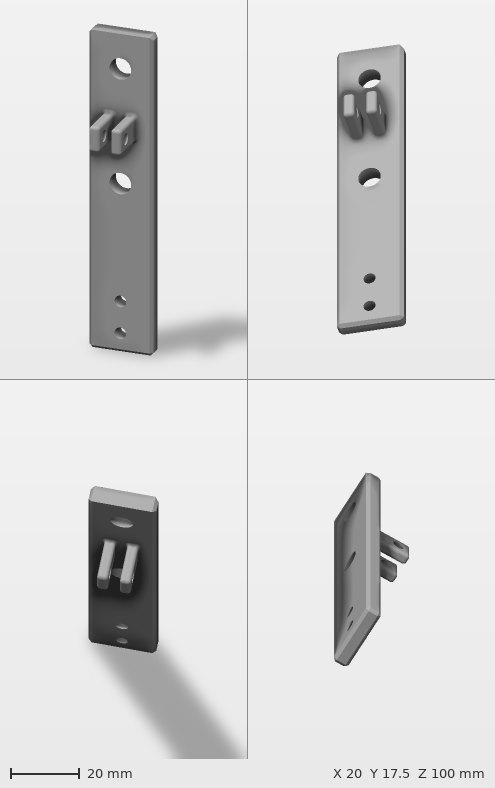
import cadquery as cq

PLATE_WIDTH = 20.0
PLATE_THICKNESS = 5.0
PLATE_HEIGHT = 100.0
PLATE_CHAMFER = 1.0

LARGE_HOLE_DIAMETER = 6.7
LARGE_HOLE_HEIGHTS = (53.0, 89.0)
SMALL_HOLE_DIAMETER = 3.6
SMALL_HOLE_HEIGHTS = (6.0, 16.0)

LUG_THICKNESS = 3.25
LUG_GAP = 3.5
LUG_LENGTH = 12.5
LUG_HEIGHT = 8.0
LUG_FILLET = 1.0
LUG_CENTRE_HEIGHT = sum(LARGE_HOLE_HEIGHTS) / 2
LUG_OFFSET = (LUG_THICKNESS + LUG_GAP) / 2

PIN_HOLE_DIAMETER = 3.6
PIN_HOLE_REACH = LUG_LENGTH - LUG_HEIGHT / 2


def make_plate():
    """Plate with every edge chamfered except the front and back edges of the top end."""
    plate = cq.Workplane("XY").box(
        PLATE_WIDTH, PLATE_THICKNESS, PLATE_HEIGHT, centered=(True, False, False)
    )
    return plate.edges("<X or >X or <Z").chamfer(PLATE_CHAMFER)


def make_lug(x_centre):
    """Lug with its long edges and the rim of its tip rounded."""
    footprint = cq.Workplane("XZ").center(x_centre, LUG_CENTRE_HEIGHT).rect(LUG_THICKNESS, LUG_HEIGHT)
    lug = footprint.extrude(LUG_LENGTH)
    return lug.edges("|Y or <Y").fillet(LUG_FILLET)


def add_lug(body, x_centre):
    """Join a lug to the plate and fillet the seam around its root."""
    margin = LUG_FILLET / 2
    half_thickness = LUG_THICKNESS / 2 + margin
    half_height = LUG_HEIGHT / 2 + margin
    root = cq.selectors.BoxSelector(
        (x_centre - half_thickness, -margin, LUG_CENTRE_HEIGHT - half_height),
        (x_centre + half_thickness, margin, LUG_CENTRE_HEIGHT + half_height),
        boundingbox=True,
    )
    return body.union(make_lug(x_centre)).edges(root).fillet(LUG_FILLET)


def make_plate_holes(diameter, heights):
    """Cutters running through the plate thickness at the given heights."""
    centres = [(0, height) for height in heights]
    return cq.Workplane("XZ").pushPoints(centres).circle(diameter / 2).extrude(-PLATE_THICKNESS)


def make_pin_hole():
    """Cutter running along X through both lugs."""
    pin_plane = cq.Workplane("YZ").center(-PIN_HOLE_REACH, LUG_CENTRE_HEIGHT)
    return pin_plane.circle(PIN_HOLE_DIAMETER / 2).extrude(PLATE_WIDTH / 2, both=True)


result = make_plate()
for side in (-1, 1):
    result = add_lug(result, side * LUG_OFFSET)
result = result.cut(make_plate_holes(LARGE_HOLE_DIAMETER, LARGE_HOLE_HEIGHTS))
result = result.cut(make_plate_holes(SMALL_HOLE_DIAMETER, SMALL_HOLE_HEIGHTS))
result = result.cut(make_pin_hole())